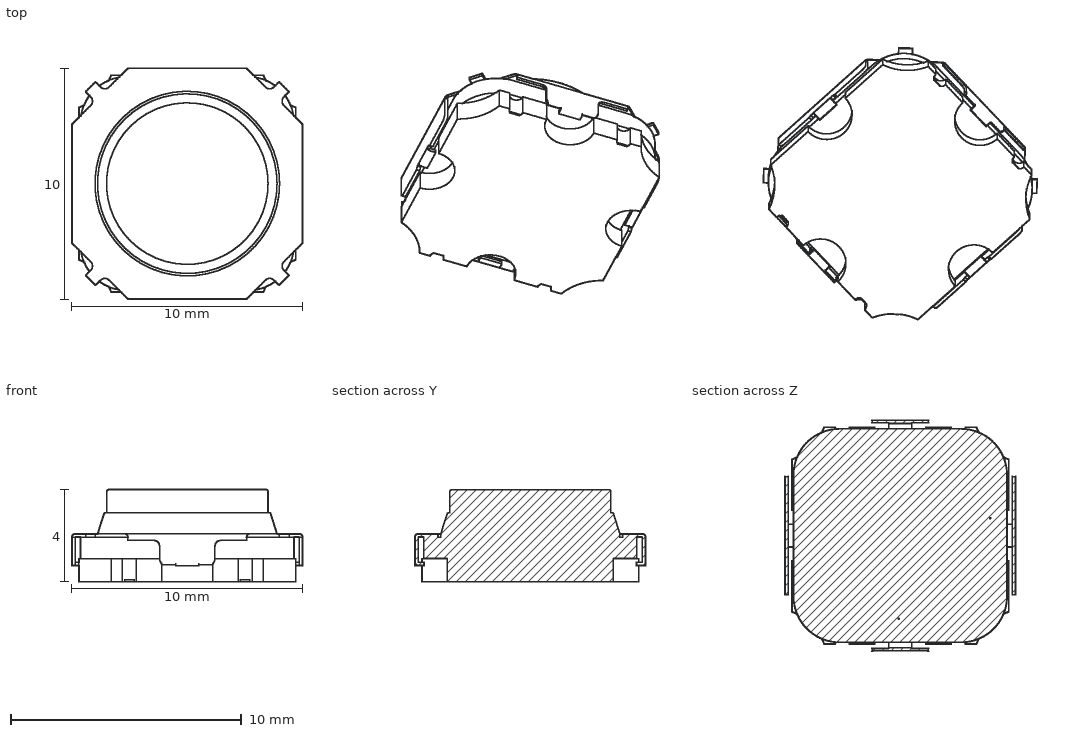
import cadquery as cq
import math

BASE_TOP = 1.0
HOUSING_TOP = 1.93
SHEET = 0.15
COVER_TOP = HOUSING_TOP + SHEET
COLLAR_TOP = 3.0
BUTTON_TOP = 4.0

BASE_HALF = 4.7
CORNER_SCALLOP_INSET = 1.4
CORNER_SCALLOP_RADIUS = 2.4
SIDE_SCALLOP_RADIUS = 1.1
GROOVE_RADIUS = 0.305
GROOVE_OFFSET = 2.505
PAD_WIDTH = 0.44
PAD_HEIGHT = 0.08
PAD_RECESS = 0.22

HOUSING_HALF = 4.63
HOUSING_CORNER_RADIUS = 2.0

COVER_HALF = 5.0
COVER_EDGE_HALF = 2.57
COVER_OPENING_RADIUS = 4.0
COVER_BOTTOM = 0.7
ARM_WIDTH = 0.61
ARM_REACH = 5.93
ARM_FILLET = 0.25

SIDE_FLANGE_CORNER_RADIUS = 0.25
NOTCH_TOP_HALF = 0.66
NOTCH_BOTTOM_HALF = 0.76
NOTCH_HEIGHT = 0.14

SKIRT_BOTTOM = 1.79
TAB_HALF = 1.2
TAB_FILLET = 0.25
TAB_BEND_RADIUS = 0.25
TAB_BEND_BOTTOM = 0.74
TAB_CORNER_RISE = 0.2
TAB_CORNER_RUN = 0.1

LIP_HALF = 0.5
LIP_END = 4.6

COLLAR_FOOT_RADIUS = 3.89
COLLAR_TOP_RADIUS = 3.6
COLLAR_FILLET = 0.08
BUTTON_RADIUS = 3.5
BUTTON_FILLET = 0.1

PICK_MARGIN = 0.02


def centred_box(x_size, y_size, z_bottom, z_top):
    """Box centred on the Z axis between two heights."""
    return cq.Workplane("XY").workplane(offset=z_bottom).rect(x_size, y_size).extrude(z_top - z_bottom)


def cylinder(x, y, radius, z_bottom, z_top):
    """Upright cylinder between two heights."""
    return cq.Workplane("XY", origin=(x, y, z_bottom)).circle(radius).extrude(z_top - z_bottom)


def cut_corner_scallop(base, x_sign, y_sign):
    """Concave corner arc whose ends lie CORNER_SCALLOP_INSET along each side from the corner."""
    half_chord = CORNER_SCALLOP_INSET / math.sqrt(2)
    chord_to_centre = math.sqrt(CORNER_SCALLOP_RADIUS**2 - half_chord**2)
    centre = BASE_HALF - CORNER_SCALLOP_INSET / 2 + chord_to_centre / math.sqrt(2)
    return base.cut(cylinder(x_sign * centre, y_sign * centre, CORNER_SCALLOP_RADIUS, 0, BASE_TOP))


def add_groove_with_pad(base, x_sign, y_sign):
    """Half-round groove in a Y side with a thin contact pad at its foot."""
    groove_x = x_sign * GROOVE_OFFSET
    pad_y = y_sign * (BASE_HALF - PAD_RECESS - PAD_WIDTH / 2)
    groove = cylinder(groove_x, y_sign * BASE_HALF, GROOVE_RADIUS, 0, BASE_TOP)
    pad = centred_box(PAD_WIDTH, PAD_WIDTH, 0, PAD_HEIGHT).translate((groove_x, pad_y, 0))
    return base.cut(groove).union(pad)


def make_base():
    """Square base with scalloped corners and sides, and two grooves on each Y side."""
    base = centred_box(2 * BASE_HALF, 2 * BASE_HALF, 0, BASE_TOP)
    for x_sign in (-1, 1):
        for y_sign in (-1, 1):
            base = cut_corner_scallop(base, x_sign, y_sign)
            base = add_groove_with_pad(base, x_sign, y_sign)
    for sign in (-1, 1):
        base = base.cut(cylinder(sign * BASE_HALF, 0, SIDE_SCALLOP_RADIUS, 0, BASE_TOP))
        base = base.cut(cylinder(0, sign * BASE_HALF, SIDE_SCALLOP_RADIUS, 0, BASE_TOP))
    return base


def make_housing():
    """Rounded square block that carries the cover."""
    block = centred_box(2 * HOUSING_HALF, 2 * HOUSING_HALF, BASE_TOP, HOUSING_TOP)
    return block.edges("|Z").fillet(HOUSING_CORNER_RADIUS)


def make_cover_outline():
    """Upright prism of the cover's plan: cut-off corners with an arm jutting from each."""
    corner_cut = COVER_HALF - COVER_EDGE_HALF
    plan = centred_box(2 * COVER_HALF, 2 * COVER_HALF, COVER_BOTTOM, COVER_TOP)
    plan = plan.edges("|Z").chamfer(corner_cut)
    arm_pair = centred_box(2 * ARM_REACH, ARM_WIDTH, COVER_BOTTOM, COVER_TOP)
    for angle in (45, 135):
        plan = plan.union(arm_pair.rotate((0, 0, 0), (0, 0, 1), angle))

    root_distance = (COVER_HALF + COVER_EDGE_HALF) / math.sqrt(2)
    root_radius = math.hypot(root_distance, ARM_WIDTH / 2)
    root_edges = []
    for quarter in range(4):
        for side in (-1, 1):
            angle = math.radians(45 + 90 * quarter) + side * math.atan2(ARM_WIDTH / 2, root_distance)
            x = root_radius * math.cos(angle)
            y = root_radius * math.sin(angle)
            picker = cq.selectors.BoxSelector(
                (x - PICK_MARGIN, y - PICK_MARGIN, COVER_BOTTOM),
                (x + PICK_MARGIN, y + PICK_MARGIN, COVER_TOP),
            )
            root_edges.extend(plan.edges("|Z").edges(picker).vals())
    return plan.newObject(root_edges).fillet(ARM_FILLET)


def make_side_flange_profile():
    """Prism along X with the face outline of the -X and +X flanges."""
    prism = centred_box(2 * COVER_HALF, 2 * COVER_EDGE_HALF, COVER_BOTTOM, HOUSING_TOP)
    prism = prism.edges("|X and <Z").fillet(SIDE_FLANGE_CORNER_RADIUS)
    notch_top = COVER_BOTTOM + NOTCH_HEIGHT
    notch = (
        cq.Workplane("YZ", origin=(-COVER_HALF, 0, 0))
        .moveTo(-NOTCH_BOTTOM_HALF, COVER_BOTTOM)
        .lineTo(-NOTCH_TOP_HALF, notch_top)
        .lineTo(NOTCH_TOP_HALF, notch_top)
        .lineTo(NOTCH_BOTTOM_HALF, COVER_BOTTOM)
        .close()
        .extrude(2 * COVER_HALF)
    )
    return prism.cut(notch)


def make_side_flanges():
    """Full-width flanges folded down on the -X and +X sides, with their lips."""
    walls = centred_box(2 * COVER_HALF, 2 * COVER_EDGE_HALF, COVER_BOTTOM, HOUSING_TOP)
    walls = walls.cut(centred_box(2 * (COVER_HALF - SHEET), 2 * COVER_EDGE_HALF, COVER_BOTTOM, HOUSING_TOP))
    flanges = walls.intersect(make_side_flange_profile())

    lip_strip = centred_box(2 * COVER_HALF, 2 * LIP_HALF, COVER_BOTTOM, COVER_BOTTOM + NOTCH_HEIGHT + SHEET)
    lip_strip = lip_strip.edges("|Y and <Z").fillet(SHEET)
    inside = centred_box(2 * (COVER_HALF - SHEET), 2 * LIP_HALF, COVER_BOTTOM + SHEET, HOUSING_TOP)
    middle = centred_box(2 * LIP_END, 2 * LIP_HALF, COVER_BOTTOM, HOUSING_TOP)
    return flanges.union(lip_strip.cut(inside).cut(middle))


def make_tab_profile():
    """Prism along Y with the face outline of the -Y and +Y flanges."""
    skirt = centred_box(2 * COVER_EDGE_HALF, 2 * COVER_HALF, SKIRT_BOTTOM, HOUSING_TOP)
    tab = centred_box(2 * TAB_HALF, 2 * COVER_HALF, TAB_BEND_BOTTOM, SKIRT_BOTTOM)
    tab = tab.edges("|Y and <Z").chamfer(TAB_CORNER_RISE, TAB_CORNER_RUN)
    profile = skirt.union(tab)
    roots = cq.selectors.BoxSelector(
        (-TAB_HALF - PICK_MARGIN, -COVER_HALF, SKIRT_BOTTOM - PICK_MARGIN),
        (TAB_HALF + PICK_MARGIN, COVER_HALF, SKIRT_BOTTOM + PICK_MARGIN),
    )
    return profile.edges("|Y").edges(roots).fillet(TAB_FILLET)


def make_tab_flanges():
    """Shallow skirts with a narrower tab on the -Y and +Y sides, curled in to a lip."""
    length = 2 * COVER_EDGE_HALF
    shell = centred_box(length, 2 * COVER_HALF, COVER_BOTTOM, HOUSING_TOP)
    shell = shell.edges("|X and <Z").fillet(TAB_BEND_RADIUS)
    hollow = centred_box(length, 2 * (COVER_HALF - SHEET), COVER_BOTTOM + SHEET, HOUSING_TOP)
    hollow = hollow.edges("|X and <Z").fillet(TAB_BEND_RADIUS - SHEET)
    shell = shell.cut(hollow)

    lips = shell.intersect(centred_box(2 * LIP_HALF, 2 * COVER_HALF, COVER_BOTTOM, SKIRT_BOTTOM))
    lips = lips.cut(centred_box(2 * LIP_HALF, 2 * LIP_END, COVER_BOTTOM, SKIRT_BOTTOM))

    drop = COVER_BOTTOM + TAB_BEND_RADIUS - TAB_BEND_BOTTOM
    curl_end = COVER_HALF - TAB_BEND_RADIUS + math.sqrt(TAB_BEND_RADIUS**2 - drop**2)
    tabs = shell.intersect(make_tab_profile())
    tabs = tabs.cut(centred_box(length, 2 * curl_end, COVER_BOTTOM, HOUSING_TOP))
    return tabs.union(lips)


def make_cover():
    """Folded sheet-metal cover with a round opening and rounded upper bends."""
    outline = make_cover_outline()
    top_size = 2 * COVER_HALF
    block = centred_box(top_size, top_size, COVER_BOTTOM, COVER_TOP).edges(">Z").fillet(SHEET)
    top = block.intersect(outline).intersect(centred_box(top_size, top_size, HOUSING_TOP, COVER_TOP))
    cover = top.union(make_side_flanges()).union(make_tab_flanges())
    return cover.cut(cylinder(0, 0, COVER_OPENING_RADIUS, HOUSING_TOP, COVER_TOP))


def make_collar():
    """Tapered collar that stands in the opening of the cover."""
    foot = cylinder(0, 0, COLLAR_FOOT_RADIUS, HOUSING_TOP, COVER_TOP)
    cone = (
        cq.Workplane("XY")
        .workplane(offset=COVER_TOP)
        .circle(COLLAR_FOOT_RADIUS)
        .workplane(offset=COLLAR_TOP - COVER_TOP)
        .circle(COLLAR_TOP_RADIUS)
        .loft()
        .edges(">Z")
        .fillet(COLLAR_FILLET)
    )
    return foot.union(cone)


def make_button():
    """Round push button with a softened top rim."""
    return cylinder(0, 0, BUTTON_RADIUS, HOUSING_TOP, BUTTON_TOP).edges(">Z").fillet(BUTTON_FILLET)


result = (
    make_base()
    .union(make_housing())
    .union(make_cover())
    .union(make_collar())
    .union(make_button())
)